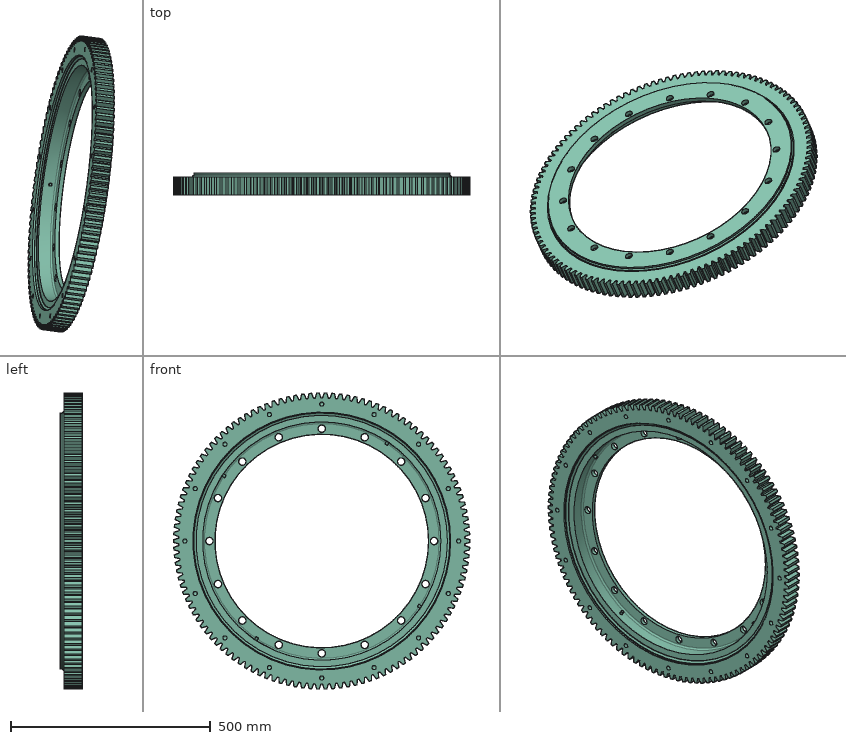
import cadquery as cq
import math


TOOTH_COUNT = 122
TIP_RADIUS = 371.0
ROOT_RADIUS = 358.5
TIP_THICKNESS = 7.0
ROOT_THICKNESS = 15.0
GEAR_BORE_RADIUS = 323.0

OVERALL_WIDTH = 56.0
RING_OFFSET = 10.0
GEAR_WIDTH = OVERALL_WIDTH - RING_OFFSET
INNER_RING_RADIUS = 320.5
WALL_RADIUS = 298.0
FLANGE_BORE_RADIUS = 267.0
FLANGE_THICKNESS = 11.0
WALL_FILLET = 4.5

HOLE_COUNT = 16
TAPPED_CIRCLE_RADIUS = 343.0
TAPPED_DIAMETER = 10.5
TAPPED_DEPTH = 22.0
DRILL_TIP_DEPTH = 3.0
THROUGH_CIRCLE_RADIUS = 281.0
THROUGH_DIAMETER = 18.0

FRONT_SEAL_DEPTH = 5.0
FRONT_SEAL_RIM = 2.0
FRONT_SEAL_LIP_RADIUS = 314.5
SEAL_LIP_THICKNESS = 1.5
REAR_SEAL_RADIUS = 326.0
REAR_SEAL_HEIGHT = 4.5

NIPPLE_COUNT = 4
NIPPLE_FIRST_ANGLE = 2.5 * 360 / HOLE_COUNT
NIPPLE_DIAMETER = 7.5
NIPPLE_INNER_RADIUS = 290.0
NIPPLE_SEAT_RADIUS = 306.0
NIPPLE_DEPTH = OVERALL_WIDTH / 2


def polar(radius, angle):
    """Point at a radius and an angle in radians."""
    return radius * math.cos(angle), radius * math.sin(angle)


def revolved(profile):
    """Full turn about Y of a closed profile of X = radius, Y = depth."""
    return profile.close().revolve(360, (0, 0, 0), (0, 1, 0))


def cylinder(radius, depth):
    """Cylinder about Y from the front face to a depth."""
    return cq.Workplane("XZ").circle(radius).extrude(-depth)


def holes_on_circle(hole, circle_radius):
    """Equally spaced copies of a hole cutter that starts on the front face at the ring axis."""
    first = hole.translate((circle_radius, 0, 0))
    spacing = 360 / HOLE_COUNT
    return [first.rotate((0, 0, 0), (0, 1, 0), index * spacing) for index in range(HOLE_COUNT)]


def toothed_disc():
    """Gear blank with straight-flanked teeth; a tooth gap is centred on +Z."""
    pitch = 2 * math.pi / TOOTH_COUNT
    half_tip = TIP_THICKNESS / 2 / TIP_RADIUS
    half_root = ROOT_THICKNESS / 2 / ROOT_RADIUS
    outline = cq.Workplane("XZ").moveTo(*polar(ROOT_RADIUS, -half_root))
    for tooth in range(TOOTH_COUNT):
        angle = tooth * pitch
        outline = (
            outline.lineTo(*polar(TIP_RADIUS, angle - half_tip))
            .threePointArc(polar(TIP_RADIUS, angle), polar(TIP_RADIUS, angle + half_tip))
            .lineTo(*polar(ROOT_RADIUS, angle + half_root))
            .threePointArc(
                polar(ROOT_RADIUS, angle + pitch / 2),
                polar(ROOT_RADIUS, angle + pitch - half_root),
            )
        )
    return outline.close().extrude(-GEAR_WIDTH)


def tapped_hole():
    """Cutter for a blind hole with a conical drill tip."""
    radius = TAPPED_DIAMETER / 2
    return revolved(
        cq.Workplane("XY")
        .lineTo(radius, 0)
        .lineTo(radius, TAPPED_DEPTH)
        .lineTo(0, TAPPED_DEPTH + DRILL_TIP_DEPTH)
    )


def make_gear_ring():
    """Toothed ring with blind tapped holes in its front face."""
    ring = toothed_disc().cut(cylinder(GEAR_BORE_RADIUS, GEAR_WIDTH))
    for hole in holes_on_circle(tapped_hole(), TAPPED_CIRCLE_RADIUS):
        ring = ring.cut(hole)
    return ring


def make_inner_ring(nipples):
    """L-shaped ring with a bolting flange at the rear and seats for the nipples."""
    flange_depth = OVERALL_WIDTH - FLANGE_THICKNESS
    arc_offset = WALL_FILLET * (1 - math.sqrt(0.5))
    profile = (
        cq.Workplane("XY")
        .moveTo(WALL_RADIUS, RING_OFFSET)
        .lineTo(INNER_RING_RADIUS, RING_OFFSET)
        .lineTo(INNER_RING_RADIUS, OVERALL_WIDTH)
        .lineTo(FLANGE_BORE_RADIUS, OVERALL_WIDTH)
        .lineTo(FLANGE_BORE_RADIUS, flange_depth)
        .lineTo(WALL_RADIUS - WALL_FILLET, flange_depth)
        .threePointArc(
            (WALL_RADIUS - arc_offset, flange_depth - arc_offset),
            (WALL_RADIUS, flange_depth - WALL_FILLET),
        )
    )
    ring = revolved(profile)
    for hole in holes_on_circle(cylinder(THROUGH_DIAMETER / 2, OVERALL_WIDTH), THROUGH_CIRCLE_RADIUS):
        ring = ring.cut(hole)
    for nipple in nipples:
        ring = ring.cut(nipple)
    return ring


def make_front_seal():
    """Seal in the gear bore, its sloping lip resting on the front face of the inner ring."""
    return revolved(
        cq.Workplane("XY")
        .moveTo(GEAR_BORE_RADIUS, RING_OFFSET)
        .lineTo(GEAR_BORE_RADIUS, FRONT_SEAL_DEPTH)
        .lineTo(GEAR_BORE_RADIUS - FRONT_SEAL_RIM, FRONT_SEAL_DEPTH)
        .lineTo(FRONT_SEAL_LIP_RADIUS, RING_OFFSET - SEAL_LIP_THICKNESS)
        .lineTo(FRONT_SEAL_LIP_RADIUS, RING_OFFSET)
    )


def make_rear_seal():
    """Sloping seal around the inner ring, resting on the rear face of the gear ring."""
    return revolved(
        cq.Workplane("XY")
        .moveTo(INNER_RING_RADIUS, GEAR_WIDTH)
        .lineTo(REAR_SEAL_RADIUS, GEAR_WIDTH)
        .lineTo(INNER_RING_RADIUS, GEAR_WIDTH + REAR_SEAL_HEIGHT)
    )


def make_nipple(angle):
    """Radial pin in the inner wall, at an angle in degrees from +X towards +Z."""
    return (
        cq.Workplane("YZ", origin=(NIPPLE_INNER_RADIUS, NIPPLE_DEPTH, 0))
        .circle(NIPPLE_DIAMETER / 2)
        .extrude(NIPPLE_SEAT_RADIUS - NIPPLE_INNER_RADIUS)
        .rotate((0, 0, 0), (0, 1, 0), -angle)
    )


nipples = [make_nipple(NIPPLE_FIRST_ANGLE + index * 360 / NIPPLE_COUNT) for index in range(NIPPLE_COUNT)]
gear_ring = make_gear_ring()
inner_ring = make_inner_ring(nipples)
front_seal = make_front_seal()
rear_seal = make_rear_seal()

result = cq.Compound.makeCompound(
    [
        gear_ring.val(),
        inner_ring.val(),
        front_seal.val(),
        rear_seal.val(),
        *[nipple.val() for nipple in nipples],
    ]
)